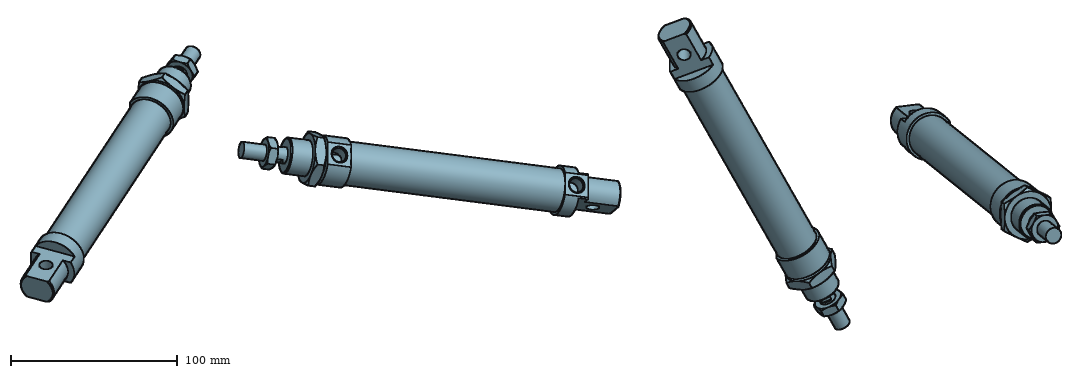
import cadquery as cq
import math

TOTAL_LENGTH = 240.0

ROD_DIAMETER = 10.0
WRENCH_FLAT_WIDTH = 8.0
WRENCH_FLAT_START = 22.0
WRENCH_FLAT_LENGTH = 3.4

ROD_NUT_WIDTH = 17.0
ROD_NUT_THICKNESS = 6.0
ROD_NUT_START = 14.5

NECK_DIAMETER = 22.0
NECK_START = 28.0
NECK_CHAMFER = 0.75
CAP_DIAMETER = 30.0
CAP_LENGTH = 15.0
FRONT_CAP_START = 50.5
REAR_CAP_START = 203.0
TUBE_DIAMETER = 26.5
CAP_FLAT_OFFSET = TUBE_DIAMETER / 2
PORT_DIAMETER = 8.8
PORT_MOUTH_DIAMETER = 10.3
PORT_FLOOR = 3.9
TANG_WIDTH = 16.0
TANG_FLAT_START = 212.0
TANG_CHAMFER = 0.75
PIVOT_DIAMETER = 8.0
PIVOT_FROM_END = 14.0

MOUNT_NUT_WIDTH = 30.0
MOUNT_NUT_THICKNESS = 7.0
MOUNT_NUT_START = 41.8

NUT_CHAMFER_ANGLE = 30.0
HEX_HALF_ANGLE = 30.0

FRONT_CAP_END = FRONT_CAP_START + CAP_LENGTH
REAR_CAP_END = REAR_CAP_START + CAP_LENGTH


def cylinder_on_axis(diameter, start, end):
    """Cylinder on the Y axis between two stations."""
    return cq.Workplane("XZ", origin=(0, -start, 0)).circle(diameter / 2).extrude(end - start)


def hex_nut(width, thickness, start, bore, corner_turn):
    """Hexagon nut with conically chamfered corners on both faces."""
    corner_radius = width / 2 / math.cos(math.radians(HEX_HALF_ANGLE))
    chamfer_depth = (corner_radius - width / 2) * math.tan(math.radians(NUT_CHAMFER_ANGLE))
    end = start + thickness
    prism = (
        cq.Workplane("XZ", origin=(0, -start, 0))
        .transformed(rotate=(0, 0, corner_turn))
        .polygon(6, 2 * corner_radius)
        .extrude(thickness)
    )
    envelope = (
        cq.Workplane("XY")
        .moveTo(0, -start)
        .lineTo(width / 2, -start)
        .lineTo(corner_radius, -start - chamfer_depth)
        .lineTo(corner_radius, -end + chamfer_depth)
        .lineTo(width / 2, -end)
        .lineTo(0, -end)
        .close()
        .revolve(360, (0, 0, 0), (0, 1, 0))
    )
    return prism.intersect(envelope).cut(cylinder_on_axis(bore, start, end))


def make_rod():
    """Piston rod with two wrench flats, each running out at 45 degrees towards the housing."""
    rod = cylinder_on_axis(ROD_DIAMETER, 0, FRONT_CAP_END)
    flat_z = WRENCH_FLAT_WIDTH / 2
    rod_radius = ROD_DIAMETER / 2
    flat_end = WRENCH_FLAT_START + WRENCH_FLAT_LENGTH
    cutter = (
        cq.Workplane("YZ")
        .moveTo(-WRENCH_FLAT_START, flat_z)
        .lineTo(-flat_end, flat_z)
        .lineTo(-flat_end - (rod_radius - flat_z), rod_radius)
        .lineTo(-WRENCH_FLAT_START, rod_radius)
        .close()
        .extrude(ROD_DIAMETER, both=True)
    )
    return rod.cut(cutter).cut(cutter.mirror("XY"))


def port_cutter(station):
    """Port bored from the -X flat towards the axis, with a countersunk mouth."""
    mouth_depth = (PORT_MOUTH_DIAMETER - PORT_DIAMETER) / 2
    depth = CAP_FLAT_OFFSET - PORT_FLOOR
    return (
        cq.Workplane("XY")
        .moveTo(0, 0)
        .lineTo(PORT_MOUTH_DIAMETER / 2, 0)
        .lineTo(PORT_DIAMETER / 2, mouth_depth)
        .lineTo(PORT_DIAMETER / 2, depth)
        .lineTo(0, depth)
        .close()
        .revolve(360, (0, 0, 0), (0, 1, 0))
        .rotate((0, 0, 0), (0, 0, 1), -90)
        .translate((-CAP_FLAT_OFFSET, -station, 0))
    )


def end_cap(start):
    """Round end cap with a flat on its -X side, level with the tube surface."""
    cap = cylinder_on_axis(CAP_DIAMETER, start, start + CAP_LENGTH)
    beyond_flat = cq.Workplane("XY").box(CAP_DIAMETER, CAP_LENGTH, CAP_DIAMETER)
    flat_center_x = -CAP_FLAT_OFFSET - CAP_DIAMETER / 2
    return cap.cut(beyond_flat.translate((flat_center_x, -start - CAP_LENGTH / 2, 0)))


def tang_side_cutter(side):
    """Block that trims the rear end to the tang thickness on the +Z (1) or -Z (-1) side."""
    length = TOTAL_LENGTH - TANG_FLAT_START
    block = cq.Workplane("XY").box(CAP_DIAMETER, length, CAP_DIAMETER)
    return block.translate((0, -TANG_FLAT_START - length / 2, side * (TANG_WIDTH + CAP_DIAMETER) / 2))


def make_housing():
    """Threaded neck, front cap, tube, rear cap and pivot tang, all in one body."""
    neck = cylinder_on_axis(NECK_DIAMETER, NECK_START, FRONT_CAP_START)
    neck = neck.faces(">Y").chamfer(NECK_CHAMFER)
    tube = cylinder_on_axis(TUBE_DIAMETER, FRONT_CAP_START, REAR_CAP_END)
    tang = cylinder_on_axis(NECK_DIAMETER, REAR_CAP_END, TOTAL_LENGTH)
    tang = tang.faces("<Y").chamfer(TANG_CHAMFER)
    body = neck.union(tube).union(tang)

    for start in (FRONT_CAP_START, REAR_CAP_START):
        body = body.union(end_cap(start)).cut(port_cutter(start + CAP_LENGTH / 2))
    for side in (1, -1):
        body = body.cut(tang_side_cutter(side))

    pivot_hole = cq.Workplane("XY").circle(PIVOT_DIAMETER / 2).extrude(TANG_WIDTH, both=True)
    body = body.cut(pivot_hole.translate((0, PIVOT_FROM_END - TOTAL_LENGTH, 0)))
    return body.cut(cylinder_on_axis(ROD_DIAMETER, NECK_START, FRONT_CAP_END))


rod = make_rod()
rod_nut = hex_nut(ROD_NUT_WIDTH, ROD_NUT_THICKNESS, ROD_NUT_START, ROD_DIAMETER, corner_turn=0)
mounting_nut = hex_nut(MOUNT_NUT_WIDTH, MOUNT_NUT_THICKNESS, MOUNT_NUT_START, NECK_DIAMETER, HEX_HALF_ANGLE)
housing = make_housing()
result = cq.Compound.makeCompound([rod.val(), rod_nut.val(), mounting_nut.val(), housing.val()])